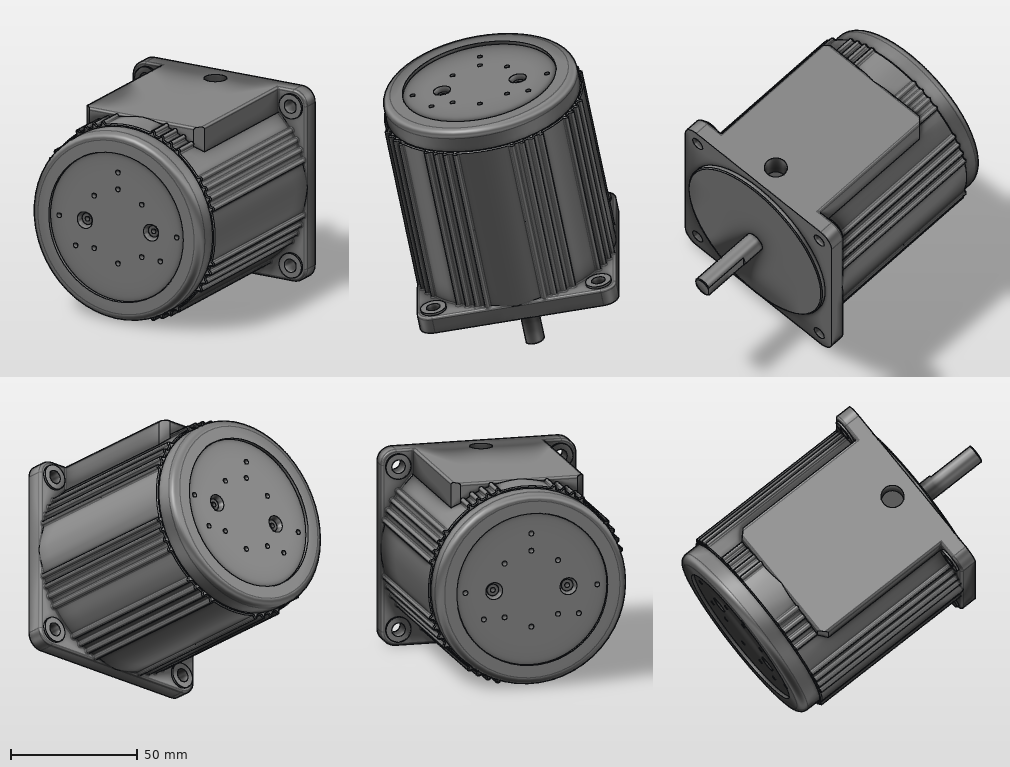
import cadquery as cq
import math


OVERALL_LENGTH = 119.0
TOLERANCE = 0.01

FLANGE_SIZE = 80.0
HALF_SIZE = FLANGE_SIZE / 2
FLANGE_THICKNESS = 7.0
FLANGE_CORNER_RADIUS = 6.1
RIM_FILLET = 1.0
BOLT_SPACING = 66.4
BOLT_HOLE_DIAMETER = 5.5
BOLT_PAD_DIAMETER = 10.2
BOLT_PAD_HEIGHT = 1.0

PILOT_DIAMETER = 73.0
PILOT_HEIGHT = 2.0
PILOT_CHAMFER = 0.5
SHAFT_DIAMETER = 8.2
SHAFT_LENGTH = 32.0
SHAFT_CHAMFER = 0.4
FLAT_LENGTH = 20.0
FLAT_DEPTH = 1.0

HOUSING_RADIUS = HALF_SIZE
HOUSING_START = FLANGE_THICKNESS / 2
HOUSING_END = 78.0
HOUSING_CHAMFER = 0.5
ROOT_FILLET = 0.5
RIB_RADIUS = 1.0
RIB_CENTER_RISE = 0.4
RIB_CENTER_RADIUS = HOUSING_RADIUS + RIB_CENTER_RISE
RIB_ROOT_FILLET = 0.6
RIBS_PER_GROUP = 4
RIB_FIRST_ANGLE = 16.5
RIB_PITCH_ANGLE = 6.1

BOX_WIDTH = 54.0
BOX_END = 67.1
BOX_CORNER_CHAMFER = 3.1
CABLE_HOLE_DIAMETER = 9.0
CABLE_HOLE_SETBACK = 10.0
CABLE_HOLE_DEPTH = 10.0

COVER_RADIUS = 39.0
COVER_END = OVERALL_LENGTH - SHAFT_LENGTH
COVER_FILLET = 3.1
RECESS_RADIUS = 30.9
RECESS_DEPTH = 1.4
COVER_FLOOR = COVER_END - RECESS_DEPTH

PIN_HOLE_DIAMETER = 2.0
PIN_HOLE_DEPTH = 2.0
INNER_CIRCLE_RADIUS = 15.5
MIDDLE_CIRCLE_RADIUS = 22.5
OUTER_CIRCLE_RADIUS = 27.0
CUP_OFFSET = 15.2
CUP_DIAMETER = 6.9
CUP_FLOOR_DIAMETER = 4.8
CUP_DEPTH = 2.0


def across_axis(distance):
    """Workplane normal to the motor axis, the given distance behind the flange front.

    Its local x and y run along X and Z; positive extrusion goes toward -Y.
    """
    return cq.Workplane("XZ", origin=(0, -distance, 0))


def on_circle(radius, degrees):
    """Point on a circle about the motor axis, measured from +X toward +Z."""
    angle = math.radians(degrees)
    return (radius * math.cos(angle), radius * math.sin(angle))


def bolt_positions():
    """Corners of the square bolt pattern on the flange front."""
    pattern = across_axis(0).rect(BOLT_SPACING, BOLT_SPACING, forConstruction=True)
    return pattern.vertices()


def is_rim_edge(edge):
    """True for the outer edges of the flange back and the top edges of the box."""
    middle = edge.Center()
    from_axis = max(abs(middle.x), abs(middle.z))
    on_back = abs(middle.y + FLANGE_THICKNESS) < TOLERANCE
    on_top = abs(middle.z - HALF_SIZE) < TOLERANCE
    outer_back = on_back and from_axis > HALF_SIZE - FLANGE_CORNER_RADIUS
    box_top = on_top and middle.y < -FLANGE_THICKNESS - TOLERANCE
    return outer_back or box_top


def flange_and_box():
    """Square flange with the terminal box flush on top, sharing one rounded rim."""
    plate = across_axis(0).rect(FLANGE_SIZE, FLANGE_SIZE).extrude(FLANGE_THICKNESS)
    plate = plate.edges("|Y").fillet(FLANGE_CORNER_RADIUS)
    box = across_axis(0).center(0, HALF_SIZE / 2).rect(BOX_WIDTH, HALF_SIZE).extrude(BOX_END)
    shape = plate.union(box)
    rim = [edge for edge in shape.edges().vals() if is_rim_edge(edge)]
    shape = shape.newObject(rim).fillet(RIM_FILLET)

    for side in (-1, 1):
        corner_x = side * BOX_WIDTH / 2
        bevel = cq.Workplane("XY").polyline([
            (corner_x, -BOX_END),
            (corner_x - side * BOX_CORNER_CHAMFER, -BOX_END),
            (corner_x, -BOX_END + BOX_CORNER_CHAMFER),
        ]).close().extrude(HALF_SIZE)
        shape = shape.cut(bevel)
    return shape


def is_root_edge(edge):
    """True for edges where the ribbed housing and the box walls meet the flange back."""
    middle = edge.Center()
    on_back = abs(middle.y + FLANGE_THICKNESS) < TOLERANCE and edge.BoundingBox().ylen < TOLERANCE
    if edge.geomType() == "LINE":
        return on_back and abs(abs(middle.x) - BOX_WIDTH / 2) < TOLERANCE
    start = edge.startPoint()
    rib_tip_radius = RIB_CENTER_RADIUS + RIB_RADIUS
    return on_back and math.hypot(start.x, start.z) < rib_tip_radius + TOLERANCE


def blend_root(body):
    """Small fillet between the flange back and everything that rises from it."""
    root = [edge for edge in body.edges().vals() if is_root_edge(edge)]
    return body.newObject(root).fillet(ROOT_FILLET)


def ribbed_housing():
    """Barrel carrying a mirrored pair of rounded rib groups about each of its four sides."""
    rib_points = []
    for quadrant in range(4):
        for side in (-1, 1):
            for index in range(RIBS_PER_GROUP):
                offset = RIB_FIRST_ANGLE + index * RIB_PITCH_ANGLE
                rib_points.append(on_circle(RIB_CENTER_RADIUS, 90 * quadrant + side * offset))
    length = HOUSING_END - HOUSING_START
    barrel = across_axis(HOUSING_START).circle(HOUSING_RADIUS).extrude(length)
    ribs = across_axis(HOUSING_START).pushPoints(rib_points).circle(RIB_RADIUS).extrude(length)
    ribbed = barrel.union(ribs).edges("|Y").fillet(RIB_ROOT_FILLET)
    return ribbed.faces("<Y").edges().chamfer(HOUSING_CHAMFER)


def tapered_hole(mouth_radius, floor_radius, depth):
    """Cone-shaped cutter with its mouth at the origin, sunk toward +Y."""
    cone = cq.Solid.makeCone(mouth_radius, floor_radius, depth, cq.Vector(0, 0, 0), cq.Vector(0, 1, 0))
    return cq.Workplane(obj=cone)


def cover():
    """Rounded end cover with a shallow round recess and its pattern of blind holes."""
    inner_length = COVER_END - HOUSING_START
    disc = across_axis(HOUSING_START).circle(COVER_RADIUS).extrude(inner_length)
    disc = disc.faces("<Y").edges().fillet(COVER_FILLET)
    disc = disc.cut(across_axis(COVER_FLOOR).circle(RECESS_RADIUS).extrude(RECESS_DEPTH))

    pin_points = [on_circle(INNER_CIRCLE_RADIUS, angle) for angle in (45, 90, 135, 225, 270, 315)]
    pin_points += [on_circle(MIDDLE_CIRCLE_RADIUS, angle) for angle in (90, 210, 330)]
    pin_points += [on_circle(OUTER_CIRCLE_RADIUS, angle) for angle in (0, 180)]
    cup_points = [(-CUP_OFFSET, 0), (CUP_OFFSET, 0)]

    cup = tapered_hole(CUP_DIAMETER / 2, CUP_FLOOR_DIAMETER / 2, CUP_DEPTH)
    pin_hole = tapered_hole(PIN_HOLE_DIAMETER / 2, 0, PIN_HOLE_DEPTH)
    for x, z in cup_points:
        disc = disc.cut(cup.translate((x, -COVER_FLOOR, z)))
        disc = disc.cut(pin_hole.translate((x, CUP_DEPTH - COVER_FLOOR, z)))
    for x, z in pin_points:
        disc = disc.cut(pin_hole.translate((x, -COVER_FLOOR, z)))
    return disc


def pilot_and_shaft():
    """Locating pilot and output shaft, with a flat on the -X side of the shaft end."""
    pilot = across_axis(0).circle(PILOT_DIAMETER / 2).extrude(-PILOT_HEIGHT)
    pilot = pilot.faces(">Y").chamfer(PILOT_CHAMFER)
    shaft = across_axis(0).circle(SHAFT_DIAMETER / 2).extrude(-SHAFT_LENGTH)
    shaft = shaft.faces(">Y").chamfer(SHAFT_CHAMFER)
    flat = across_axis(-SHAFT_LENGTH).center(-SHAFT_DIAMETER + FLAT_DEPTH, 0)
    flat = flat.rect(SHAFT_DIAMETER, 2 * SHAFT_DIAMETER).extrude(FLAT_LENGTH)
    return pilot.union(shaft.cut(flat))


body = blend_root(flange_and_box().union(ribbed_housing()))
body = body.union(cover()).union(pilot_and_shaft())

bolt_pads = bolt_positions().circle(BOLT_PAD_DIAMETER / 2)
body = body.union(bolt_pads.extrude(FLANGE_THICKNESS + BOLT_PAD_HEIGHT))
bolt_holes = bolt_positions().circle(BOLT_HOLE_DIAMETER / 2)
body = body.cut(bolt_holes.extrude(FLANGE_THICKNESS + BOLT_PAD_HEIGHT))

cable_hole = cq.Workplane("XY", origin=(0, -CABLE_HOLE_SETBACK, HALF_SIZE))
result = body.cut(cable_hole.circle(CABLE_HOLE_DIAMETER / 2).extrude(-CABLE_HOLE_DEPTH))